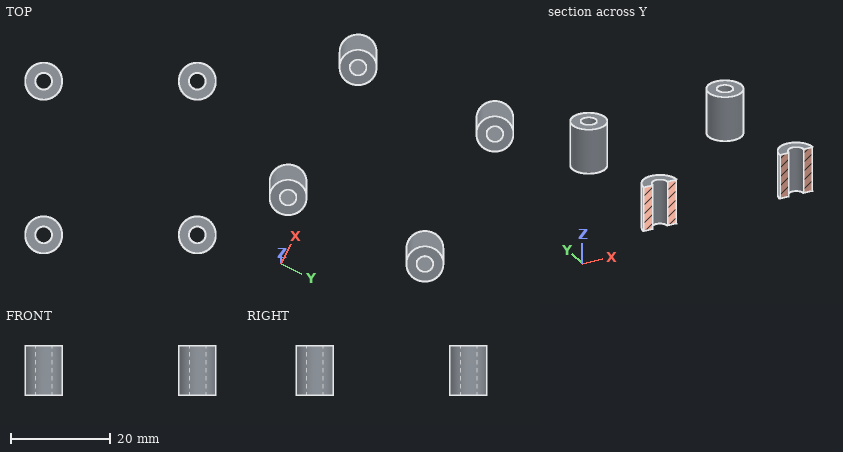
import cadquery as cq

overall_width = 38.5
spacer_diameter = 7.5
bore_diameter = 3.3
spacer_height = 10.0

spacer_pitch = overall_width - spacer_diameter


def make_spacer(x, y):
    """Upright round spacer with a through bore, standing on Z = 0."""
    return (
        cq.Workplane("XY")
        .center(x, y)
        .circle(spacer_diameter / 2)
        .circle(bore_diameter / 2)
        .extrude(spacer_height)
    )


spacers = []
for x in (-spacer_pitch / 2, spacer_pitch / 2):
    for y in (-spacer_pitch / 2, spacer_pitch / 2):
        spacers.append(make_spacer(x, y).val())

result = cq.Compound.makeCompound(spacers)